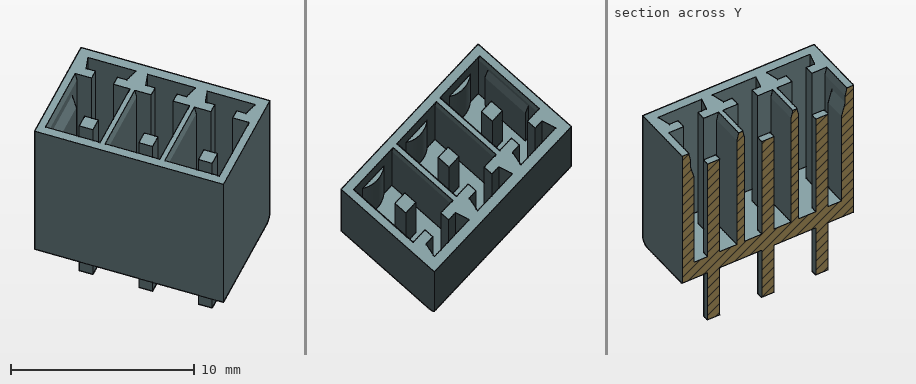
import cadquery as cq

body_width = 11.1
body_depth = 6.9
body_height = 9.2
edge_radius = 0.5

pitch = 3.5
pin_size = 0.81
pin_y = 2.89
pin_drop = 12.6 - body_height
pin_recess = 1.32

chamber_width = 3.21
chamber_front = 0.52
chamber_back = 4.93
floor_thickness = 1.2
lead_in_inset = 0.11
lead_in_depth = 0.5

neck_width = 1.29
neck_back = 5.5
tail_narrow = 2.4
tail_wide = 2.82
tail_back = 6.33

key_front = 1.22
key_back = 4.22
key_projection = 0.24
key_start = 1.01
key_ramp = 0.88

rib_chord = 1.71
rib_rise = 0.28
rib_recess = 1.89

cavity_height = body_height - floor_thickness
throat_width = chamber_width - 2 * lead_in_inset
pin_positions = [-pitch, 0, pitch]


def make_body():
    body = cq.Workplane("XY").box(body_width, body_depth, body_height, centered=(True, False, False))
    return body.edges(">Y and <Z").fillet(edge_radius)


def make_chamber():
    """Main cavity: straight walls with a sloped lead-in at the rim."""
    lead_in_z = body_height - lead_in_depth
    profile = [
        (-throat_width / 2, floor_thickness),
        (throat_width / 2, floor_thickness),
        (throat_width / 2, lead_in_z),
        (chamber_width / 2, body_height),
        (-chamber_width / 2, body_height),
        (-throat_width / 2, lead_in_z),
    ]
    chamber = cq.Workplane("XZ").polyline(profile).close().extrude(chamber_front - chamber_back)
    return chamber.translate((0, chamber_front, 0))


def make_keyway():
    outline = [
        (-neck_width / 2, chamber_back),
        (neck_width / 2, chamber_back),
        (neck_width / 2, neck_back),
        (tail_narrow / 2, neck_back),
        (tail_wide / 2, tail_back),
        (-tail_wide / 2, tail_back),
        (-tail_narrow / 2, neck_back),
        (-neck_width / 2, neck_back),
    ]
    return cq.Workplane("XY", origin=(0, 0, floor_thickness)).polyline(outline).close().extrude(cavity_height)


def make_rib():
    return (
        cq.Workplane("XY", origin=(0, 0, floor_thickness))
        .moveTo(-rib_chord / 2, chamber_front)
        .threePointArc((0, chamber_front + rib_rise), (rib_chord / 2, chamber_front))
        .close()
        .extrude(cavity_height - rib_recess)
    )


def make_pin():
    length = pin_drop + body_height - pin_recess
    pin = cq.Workplane("XY").box(pin_size, pin_size, length, centered=(True, True, False))
    return pin.translate((0, pin_y, -pin_drop))


def make_side_key():
    """Key on the +X outer wall, with a sloped top."""
    wall_x = pitch + throat_width / 2
    key_x = wall_x - key_projection
    top_z = body_height - key_start
    profile = [
        (wall_x, floor_thickness),
        (wall_x, top_z),
        (key_x, top_z - key_ramp),
        (key_x, floor_thickness),
    ]
    key = cq.Workplane("XZ").polyline(profile).close().extrude(key_front - key_back)
    return key.translate((0, key_front, 0))


result = make_body()
for x in pin_positions:
    position = (x, 0, 0)
    result = result.cut(make_chamber().translate(position))
    result = result.cut(make_keyway().translate(position))
    result = result.union(make_rib().translate(position))
    result = result.union(make_pin().translate(position))

side_key = make_side_key()
result = result.union(side_key).union(side_key.mirror("YZ"))